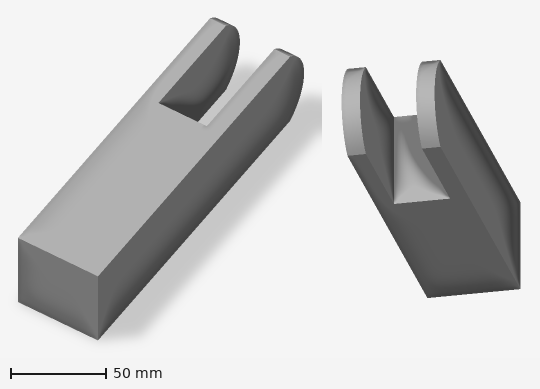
import cadquery as cq
import math

length = 198.5
side = 50.0

leg_thickness = 10.0
slot_depth = 78.4
tip_radius = 30.0

half_side = side / 2
half_length = length / 2
slot_width = side - 2 * leg_thickness
tip_rise = tip_radius - math.sqrt(tip_radius**2 - half_side**2)
tip_start = half_length - tip_rise


def rounded_bar():
    """Square bar whose +Y end is an arc in the YZ plane."""
    return (
        cq.Workplane("YZ")
        .moveTo(-half_length, -half_side)
        .lineTo(tip_start, -half_side)
        .threePointArc((half_length, 0), (tip_start, half_side))
        .lineTo(-half_length, half_side)
        .close()
        .extrude(half_side, both=True)
    )


def fork_slot():
    """Block removed between the two fork legs, through the full height."""
    slot_center = half_length - slot_depth / 2
    return cq.Workplane("XY").box(slot_width, slot_depth, side).translate((0, slot_center, 0))


result = rounded_bar().cut(fork_slot())